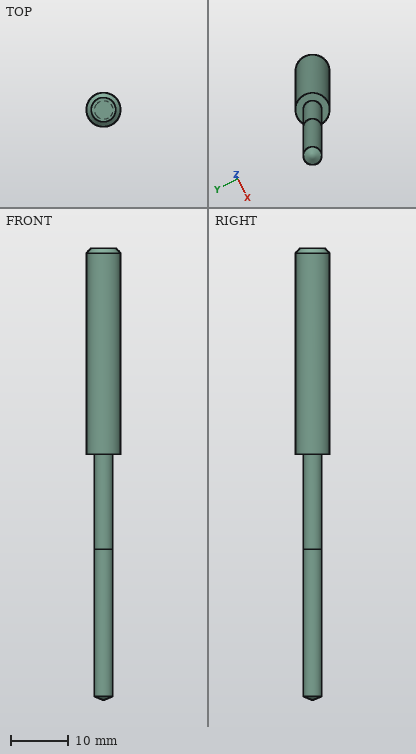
import cadquery as cq

total_length = 79.0

shank_diameter = 6.0
shank_length = 36.0
chamfer_size = 0.9
drill_diameter = 3.2

cutting_length = 26.4
point_height = 0.7

shank_radius = shank_diameter / 2
drill_radius = drill_diameter / 2
shank_bottom = total_length - shank_length


def make_holder():
    """Chamfered shank and the slimmer neck below it, turned as one body."""
    profile = (
        cq.Workplane("XZ")
        .moveTo(0, cutting_length)
        .lineTo(drill_radius, cutting_length)
        .lineTo(drill_radius, shank_bottom)
        .lineTo(shank_radius, shank_bottom)
        .lineTo(shank_radius, total_length - chamfer_size)
        .lineTo(shank_radius - chamfer_size, total_length)
        .lineTo(0, total_length)
        .close()
    )
    return profile.revolve(360, (0, 0), (0, 1))


def make_cutting_end():
    """Plain cylinder with a conical point, butted against the neck."""
    profile = (
        cq.Workplane("XZ")
        .moveTo(0, 0)
        .lineTo(drill_radius, point_height)
        .lineTo(drill_radius, cutting_length)
        .lineTo(0, cutting_length)
        .close()
    )
    return profile.revolve(360, (0, 0), (0, 1))


holder = make_holder()
cutting_end = make_cutting_end()

result = cq.Compound.makeCompound([holder.val(), cutting_end.val()])